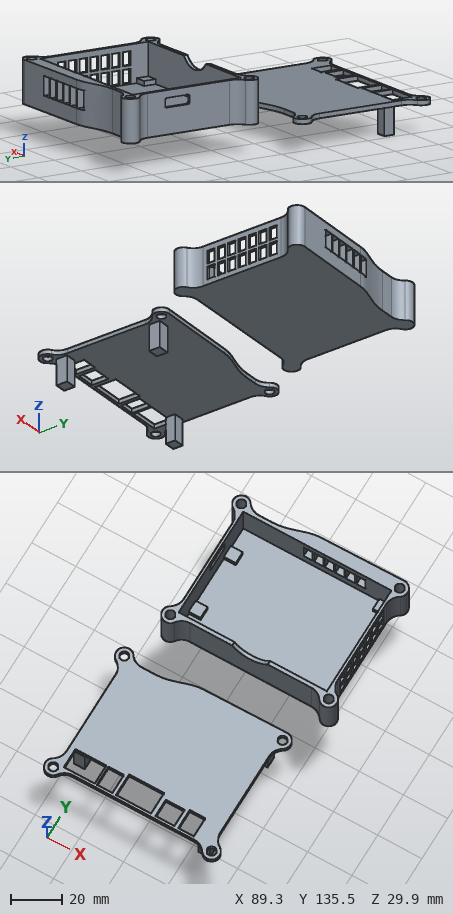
import cadquery as cq
import math

HOLE_SPACING_X = 71.7
HOLE_SPACING_Y = 55.0
HOLE_DIAMETER = 3.9
BOSS_DIAMETER = 7.3
BOSS_FILLET = 6.5
CAVITY_X = 67.0
CAVITY_Y = 50.0
SIDE_WALL = 1.2
END_WALL = 1.8

STEP_START_X = 14.4
STEP_MIDDLE = (25.5, 1.5)
STEP_END = (34.3, 3.3)

HOUSING_OFFSET = (10.3, 73.2)
HOUSING_HEIGHT = 18.0
FLOOR = 2.0
PAD_SIZE = 5.4
PAD_HEIGHT = 2.0
BACK_PAD_DEPTH = 5.0
LEFT_PAD_CENTRES_Y = (12.6, -14.6)

NOTCH_RADIUS = 10.0
NOTCH_DEPTH = 4.0
NOTCH_X = -0.3

CARD_SLOT_LENGTH = 11.4
CARD_SLOT_HEIGHT = 3.9
CARD_SLOT_RADIUS = 1.0
CARD_SLOT_Y = 5.0
CARD_SLOT_DROP = 3.1

SIDE_VENT_COLUMNS = 7
SIDE_VENT_ROWS = 2
SIDE_VENT_PITCH_Y = 5.0
SIDE_VENT_PITCH_Z = 7.2
SIDE_VENT_WIDTH = 3.5
SIDE_VENT_HEIGHT = 5.7
SIDE_VENT_DROP = 2.7

BACK_VENT_COUNT = 6
BACK_VENT_ROW_LENGTH = 27.9
BACK_VENT_BAR = 0.8
BACK_VENT_HEIGHT = 8.0
BACK_VENT_DROP = 3.5
BACK_VENT_MARGIN = 11.8

LID_THICKNESS = 2.0
LEG_LENGTH = 11.9
LEG_SIZE = 5.1
LEFT_LEG_X = 5.0
LEFT_LEG_Y = 4.5
LEFT_LEG_CLEARANCE = 0.7
PORT_SILL = 1.2
PORTS = (
    (2.6, 14.0, 9.0),
    (17.5, 7.0, 9.0),
    (26.1, 15.9, 10.2),
    (44.0, 8.5, 8.0),
    (54.3, 7.0, 9.0),
)

BOSS_RADIUS = BOSS_DIAMETER / 2
HOLE_X = HOLE_SPACING_X / 2
HOLE_Y = HOLE_SPACING_Y / 2
HOLE_CENTRES = [(sx * HOLE_X, sy * HOLE_Y) for sx in (-1, 1) for sy in (-1, 1)]
PLATE_X = CAVITY_X / 2 + SIDE_WALL
PLATE_Y = CAVITY_Y / 2 + END_WALL
SIDE_CROSSING = math.sqrt(BOSS_RADIUS**2 - (HOLE_X - PLATE_X) ** 2)
END_CROSSING = math.sqrt(BOSS_RADIUS**2 - (HOLE_Y - PLATE_Y) ** 2)
FILLET_POINTS = [
    (sx * PLATE_X, sy * (HOLE_Y - SIDE_CROSSING)) for sx in (-1, 1) for sy in (-1, 1)
] + [
    (-HOLE_X + END_CROSSING, PLATE_Y),
    (-HOLE_X + END_CROSSING, -PLATE_Y),
    (HOLE_X - END_CROSSING, -PLATE_Y),
]


def block(x_range, y_range, z_range):
    """Rectangular block between two limits on each axis."""
    size = [high - low for low, high in (x_range, y_range, z_range)]
    corner = (x_range[0], y_range[0], z_range[0])
    return cq.Workplane("XY").box(*size, centered=False).translate(corner)


def corner_plate(height):
    """Plate with four filleted corner bosses and the swept step along its back edge."""
    step_middle = (-HOLE_X + STEP_MIDDLE[0], HOLE_Y + STEP_MIDDLE[1])
    step_end = (-HOLE_X + STEP_END[0], HOLE_Y + STEP_END[1])
    boss_top = (HOLE_X, HOLE_Y + BOSS_RADIUS)
    end_direction = (boss_top[0] - step_end[0], boss_top[1] - step_end[1])
    plate = (
        cq.Workplane("XY")
        .moveTo(-PLATE_X, -PLATE_Y)
        .lineTo(-PLATE_X, PLATE_Y)
        .lineTo(-HOLE_X + STEP_START_X, PLATE_Y)
        .spline([step_middle, step_end], tangents=[(1, 0), end_direction], includeCurrent=True)
        .lineTo(*boss_top)
        .lineTo(PLATE_X, HOLE_Y)
        .lineTo(PLATE_X, -PLATE_Y)
        .close()
        .extrude(height)
    )
    bosses = cq.Workplane("XY").pushPoints(HOLE_CENTRES).circle(BOSS_RADIUS).extrude(height)
    plate = plate.union(bosses)
    for x, y in FILLET_POINTS:
        edge = cq.selectors.NearestToPointSelector((x, y, height / 2))
        plate = plate.edges("|Z").edges(edge).fillet(BOSS_FILLET)
    return plate


def screw_holes(bottom, top):
    """Four round holes at the boss centres."""
    return (
        cq.Workplane("XY", origin=(0, 0, bottom))
        .pushPoints(HOLE_CENTRES)
        .circle(HOLE_DIAMETER / 2)
        .extrude(top - bottom)
    )


def support_pads():
    """Four pads on the housing floor: two along the left wall, two in the right corners."""
    wall_x = (CAVITY_X - PAD_SIZE) / 2
    pads = [(-wall_x, y, PAD_SIZE) for y in LEFT_PAD_CENTRES_Y]
    pads.append((wall_x, -(CAVITY_Y - PAD_SIZE) / 2, PAD_SIZE))
    pads.append((wall_x, (CAVITY_Y - BACK_PAD_DEPTH) / 2, BACK_PAD_DEPTH))
    return [
        cq.Workplane("XY", origin=(x, y, FLOOR)).rect(PAD_SIZE, depth).extrude(PAD_HEIGHT)
        for x, y, depth in pads
    ]


def finger_notch():
    """Round notch in the top of the front wall."""
    centre_z = HOUSING_HEIGHT - NOTCH_DEPTH + NOTCH_RADIUS
    return (
        cq.Workplane("XZ", origin=(NOTCH_X, -CAVITY_Y / 2, centre_z))
        .circle(NOTCH_RADIUS)
        .extrude(2 * END_WALL)
    )


def card_slot():
    """Rounded slot through the left wall."""
    centre_z = HOUSING_HEIGHT - CARD_SLOT_DROP - CARD_SLOT_HEIGHT / 2
    return (
        cq.Workplane("XY")
        .box(2 * SIDE_WALL, CARD_SLOT_LENGTH, CARD_SLOT_HEIGHT)
        .edges("|X")
        .fillet(CARD_SLOT_RADIUS)
        .translate((-PLATE_X, CARD_SLOT_Y, centre_z))
    )


def side_vents():
    """Grid of rectangular vents through the right wall, centred along Y."""
    upper_z = HOUSING_HEIGHT - SIDE_VENT_DROP - SIDE_VENT_HEIGHT / 2
    first_y = -SIDE_VENT_PITCH_Y * (SIDE_VENT_COLUMNS - 1) / 2
    centres = [
        (first_y + column * SIDE_VENT_PITCH_Y, upper_z - row * SIDE_VENT_PITCH_Z)
        for column in range(SIDE_VENT_COLUMNS)
        for row in range(SIDE_VENT_ROWS)
    ]
    return (
        cq.Workplane("YZ", origin=(CAVITY_X / 2, 0, 0))
        .pushPoints(centres)
        .rect(SIDE_VENT_WIDTH, SIDE_VENT_HEIGHT)
        .extrude(2 * SIDE_WALL)
    )


def back_vents():
    """Row of upright vents through the thick back wall."""
    width = (BACK_VENT_ROW_LENGTH - (BACK_VENT_COUNT - 1) * BACK_VENT_BAR) / BACK_VENT_COUNT
    row_left = CAVITY_X / 2 - BACK_VENT_MARGIN - BACK_VENT_ROW_LENGTH
    centre_z = HOUSING_HEIGHT - BACK_VENT_DROP - BACK_VENT_HEIGHT / 2
    centres = [
        (row_left + width / 2 + index * (width + BACK_VENT_BAR), centre_z)
        for index in range(BACK_VENT_COUNT)
    ]
    back_y = HOLE_Y + BOSS_RADIUS
    return (
        cq.Workplane("XZ", origin=(0, back_y, 0))
        .pushPoints(centres)
        .rect(width, BACK_VENT_HEIGHT)
        .extrude(back_y - CAVITY_Y / 2)
    )


def make_housing():
    """Open-topped tray with blind screw holes, pads, vents, a card slot and a finger notch."""
    cavity = block(
        (-CAVITY_X / 2, CAVITY_X / 2), (-CAVITY_Y / 2, CAVITY_Y / 2), (FLOOR, HOUSING_HEIGHT)
    )
    housing = corner_plate(HOUSING_HEIGHT).cut(cavity)
    for pad in support_pads():
        housing = housing.union(pad)
    housing = housing.cut(screw_holes(FLOOR, HOUSING_HEIGHT))
    for opening in (finger_notch(), card_slot(), side_vents(), back_vents()):
        housing = housing.cut(opening)
    return housing.translate((*HOUSING_OFFSET, 0))


def lid_legs():
    """Three legs under the lid, each placed to face a housing pad."""
    drop = (-LEG_LENGTH, 0)
    right = (CAVITY_X / 2 - LEG_SIZE, CAVITY_X / 2)
    left_start = -CAVITY_X / 2 + LEFT_LEG_CLEARANCE
    left_y = LEFT_PAD_CENTRES_Y[1]
    return [
        block(right, (CAVITY_Y / 2 - LEG_SIZE, CAVITY_Y / 2), drop),
        block(right, (-CAVITY_Y / 2, -CAVITY_Y / 2 + LEG_SIZE), drop),
        block(
            (left_start, left_start + LEFT_LEG_X),
            (left_y - LEFT_LEG_Y / 2, left_y + LEFT_LEG_Y / 2),
            drop,
        ),
    ]


def make_lid():
    """Flat lid with screw holes, a row of connector openings and three legs underneath."""
    lid = corner_plate(LID_THICKNESS).cut(screw_holes(0, LID_THICKNESS))
    port_front = -PLATE_Y + PORT_SILL
    for offset, width, depth in PORTS:
        left = -PLATE_X + offset
        port = block((left, left + width), (port_front, port_front + depth), (0, LID_THICKNESS))
        lid = lid.cut(port)
    for leg in lid_legs():
        lid = lid.union(leg)
    return lid


housing = make_housing()
lid = make_lid()
result = cq.Compound.makeCompound([housing.val(), lid.val()])